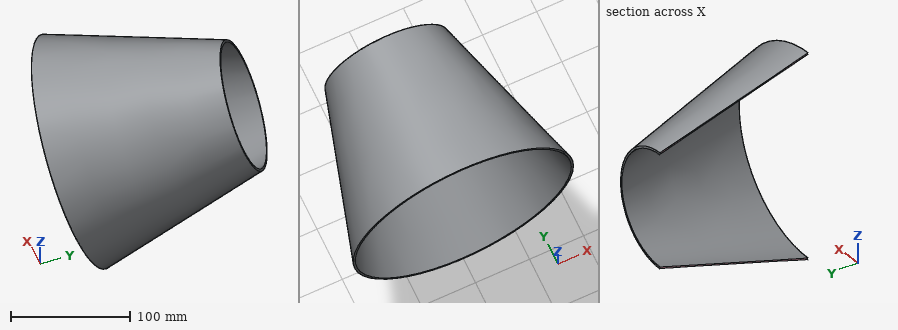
import cadquery as cq

large_diameter = 204.0
small_diameter = 114.2
length = 152.0
wall = 2.0

large_radius = large_diameter / 2
small_radius = small_diameter / 2

wall_section = (
    cq.Workplane("XY")
    .moveTo(large_radius - wall, 0)
    .lineTo(large_radius, 0)
    .lineTo(small_radius, length)
    .lineTo(small_radius - wall, length)
    .close()
)

result = wall_section.revolve(360, (0, 0, 0), (0, 1, 0))